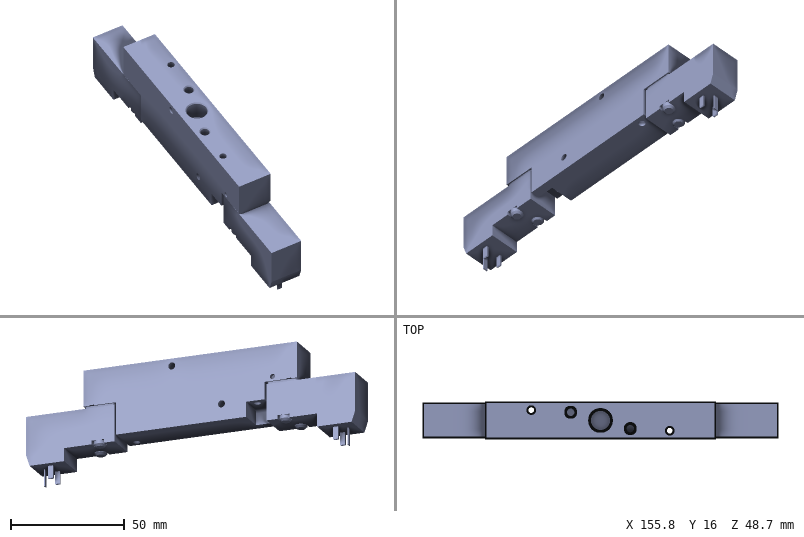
import cadquery as cq
import math

BODY_LENGTH = 101.0
BODY_WIDTH = 16.0
BODY_HEIGHT = 32.0
STEP_X = 35.0
STEP_HEIGHT = 15.1

OVERALL_LENGTH = 155.8
PILOT_WIDTH = 15.1
PILOT_INNER_X = 36.0
PILOT_TOP = 14.2
PILOT_BASE = -2.8
PLUG_BASE = -8.9
PLUG_INNER_X = 59.8
NOSE_LENGTH = 1.7
NOSE_HEIGHT = 5.1

GASKET_WIDTH = 14.8
GASKET_OUTER_X = 50.3
GASKET_CORNER = 1.2

BLADE_X = 71.8
BLADE_THICKNESS = 0.5
BLADE_WIDTH = 2.2
BLADE_TIP = -16.7
PIN_X = 67.5
PIN_Y = 4.0
PIN_THICKNESS = 1.0
PIN_WIDTH = 2.3
PIN_TIP = -15.0
PIN_TAPER = 0.3

SCREW_DIAMETER = 5.8
SCREW_TOP = -1.1
SCREW_Y = (PILOT_WIDTH - SCREW_DIAMETER) / 2
SCREW_CHAMFER = 1.0
SCREWS = ((44.0, -SCREW_Y, -3.6), (47.4, SCREW_Y, -4.0))

MAIN_PORT_DIAMETER = 9.2
MAIN_PORT_DEPTH = 8.5
SIDE_PORT_DIAMETER = 4.0
PORT_CHAMFER = 0.5
SIDE_PORT_X = 13.1
SIDE_PORT_Y = 3.6
SPOOL_RADIUS = 6.0
SPOOL_LENGTH = 35.0

FIXING_DIAMETER = 3.3
TOP_FIXING_X = 30.4
TOP_FIXING_Y = 4.5
FRONT_FIXINGS = ((-8.7, 28.5), (14.8, 7.6))

VENT_X = 39.0
VENT_Z = 17.1
VENT_DIAMETER = 2.3
VENT_DEPTH = 1.5
NICK_X = 46.6
NICK_WIDTH = 2.0
NICK_HEIGHT = 0.3
NICK_DEPTH = 1.5
POCKET_INNER_X = 26.5
POCKET_HEIGHT = 7.0
POCKET_DEPTH = 11.7
POCKET_FILLET = 1.5

FRONT_Y = -BODY_WIDTH / 2


def box(x_range, y_range, z_range):
    """Block spanning the three (low, high) ranges."""
    lows, highs = zip(x_range, y_range, z_range)
    sizes = [high - low for low, high in zip(lows, highs)]
    return cq.Workplane("XY").box(*sizes, centered=False).translate(lows)


def centred(middle, size):
    return (middle - size / 2, middle + size / 2)


def upright_cylinder(x, y, z_range, diameter):
    low, high = z_range
    return cq.Workplane("XY", origin=(x, y, low)).circle(diameter / 2).extrude(high - low)


def crosswise_cylinder(x, z, depth, diameter):
    """Cylinder that runs from the front face toward +Y."""
    return cq.Workplane("XZ", origin=(x, FRONT_Y, z)).circle(diameter / 2).extrude(-depth)


def make_body():
    half = BODY_LENGTH / 2
    outline = [
        (-half, BODY_HEIGHT), (half, BODY_HEIGHT), (half, STEP_HEIGHT), (STEP_X, STEP_HEIGHT),
        (STEP_X, 0), (-STEP_X, 0), (-STEP_X, STEP_HEIGHT), (-half, STEP_HEIGHT),
    ]
    return cq.Workplane("XZ", origin=(0, -FRONT_Y, 0)).polyline(outline).close().extrude(BODY_WIDTH)


def chamfered_bore(x, y, diameter, depth, chamfer):
    """Bore down from the top face, with a chamfered mouth."""
    radius = diameter / 2
    bore = upright_cylinder(x, y, (BODY_HEIGHT - depth, BODY_HEIGHT), diameter)
    mouth = cq.Solid.makeCone(
        radius + chamfer, radius, chamfer, pnt=cq.Vector(x, y, BODY_HEIGHT), dir=cq.Vector(0, 0, -1)
    )
    return bore.union(cq.Workplane(mouth))


def port_cuts():
    """Main port with a flat floor, and two side ports that end on the round spool."""
    spool = (
        cq.Workplane("YZ", origin=(-SPOOL_LENGTH / 2, 0, BODY_HEIGHT / 2))
        .circle(SPOOL_RADIUS)
        .extrude(SPOOL_LENGTH)
    )
    cuts = chamfered_bore(0, 0, MAIN_PORT_DIAMETER, MAIN_PORT_DEPTH, PORT_CHAMFER)
    for side in (-1, 1):
        port = chamfered_bore(
            side * SIDE_PORT_X, -side * SIDE_PORT_Y, SIDE_PORT_DIAMETER, BODY_HEIGHT / 2, PORT_CHAMFER
        )
        cuts = cuts.union(port.cut(spool))
    return cuts


def fixing_holes():
    """Two holes down through the body and two across it."""
    holes = []
    for side in (-1, 1):
        hole = upright_cylinder(side * TOP_FIXING_X, -side * TOP_FIXING_Y, (0, BODY_HEIGHT), FIXING_DIAMETER)
        holes.append(hole)
    for x, z in FRONT_FIXINGS:
        holes.append(crosswise_cylinder(x, z, BODY_WIDTH, FIXING_DIAMETER))
    return holes


def pocket_cut():
    """Corner pocket at the foot of the front face, its roof rounded into the back wall."""
    pocket = box((POCKET_INNER_X, STEP_X), (FRONT_Y, FRONT_Y + POCKET_DEPTH), (0, POCKET_HEIGHT))
    return pocket.faces(">Y").edges(">Z").fillet(POCKET_FILLET)


def nick_cut(side):
    """Small notch in the lower front edge of the body step."""
    return box(
        centred(side * NICK_X, NICK_WIDTH),
        (FRONT_Y, FRONT_Y + NICK_DEPTH),
        (STEP_HEIGHT, STEP_HEIGHT + NICK_HEIGHT),
    )


def make_gasket():
    """Right-hand gasket plate, with rounded corners."""
    plate = box((PILOT_INNER_X, GASKET_OUTER_X), centred(0, GASKET_WIDTH), (PILOT_TOP, STEP_HEIGHT))
    return plate.edges("|Z").fillet(GASKET_CORNER)


def make_pilot_block():
    """Right-hand pilot housing, with the plug foot at its outer end."""
    end_x = OVERALL_LENGTH / 2
    outline = [
        (PILOT_INNER_X, PILOT_TOP), (end_x, PILOT_TOP), (end_x, PLUG_BASE + NOSE_HEIGHT),
        (end_x - NOSE_LENGTH, PLUG_BASE), (PLUG_INNER_X, PLUG_BASE),
        (PLUG_INNER_X, PILOT_BASE), (PILOT_INNER_X, PILOT_BASE),
    ]
    return cq.Workplane("XZ", origin=(0, PILOT_WIDTH / 2, 0)).polyline(outline).close().extrude(PILOT_WIDTH)


def make_pins():
    """One flat blade near the outer end and a pair of taper-tipped pins behind it."""
    pins = [box(centred(BLADE_X, BLADE_THICKNESS), centred(0, BLADE_WIDTH), (BLADE_TIP, PLUG_BASE))]
    for y in (-PIN_Y, PIN_Y):
        pin = box(centred(PIN_X, PIN_WIDTH), centred(y, PIN_THICKNESS), (PIN_TIP, PLUG_BASE))
        pins.append(pin.faces("<Z").edges().chamfer(PIN_TAPER))
    return pins


def seat_screw(pilot, x, y, underside):
    """Screw head in a seat that opens through the nearer side face of the pilot."""
    outer_y = math.copysign(PILOT_WIDTH / 2, y)
    seat = box(centred(x, SCREW_DIAMETER), sorted((y, outer_y)), (PILOT_BASE, SCREW_TOP))
    head = upright_cylinder(x, y, (underside, SCREW_TOP), SCREW_DIAMETER)
    return pilot.cut(seat).union(head.faces("<Z").edges().chamfer(SCREW_CHAMFER))


def make_pilot():
    """Complete right-hand pilot valve."""
    pilot = make_pilot_block()
    for x, y, underside in SCREWS:
        pilot = seat_screw(pilot, x, y, underside)
    for pin in make_pins():
        pilot = pilot.union(pin)
    return pilot.union(make_gasket())


body = make_body().cut(port_cuts()).cut(pocket_cut())
for hole in fixing_holes():
    body = body.cut(hole)
body = body.cut(crosswise_cylinder(VENT_X, VENT_Z, VENT_DEPTH, VENT_DIAMETER))
for side in (-1, 1):
    body = body.cut(nick_cut(side))

right_pilot = make_pilot()
result = body.union(right_pilot).union(right_pilot.mirror("YZ"))